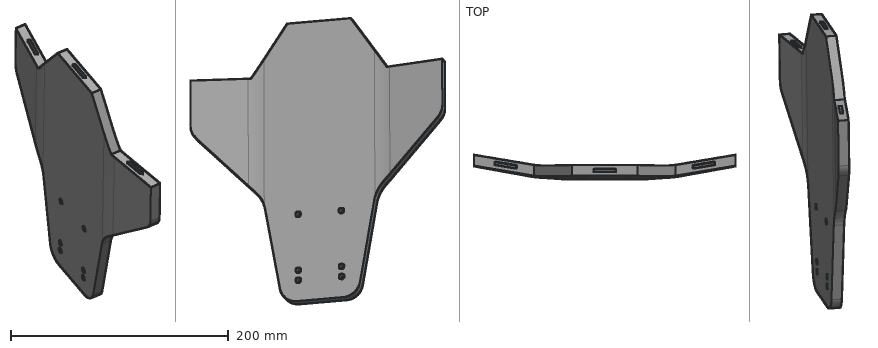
import cadquery as cq
import math

height = 267.5
width = 240.0
half_width = width / 2
thickness = 10.0
lean = 0.75
wing_angle = 9.5
flat_half_width = 52.7
bend_width = 16.3
front_bend_radius = bend_width / math.sin(math.radians(wing_angle))
back_bend_radius = front_bend_radius - thickness

head_half_width = 30.2
shoulder_half_width = 64.8
wing_top = 217.5
wing_tip_bottom = 166.7
waist_half_width = 53.8
waist_height = 100.5
foot_half_width = 35.9
tip_radius = 16.0
waist_radius = 32.0
foot_radius = 16.0

hole_diameter = 5.0
hole_offset = 20.5
hole_heights = (20.0, 29.7, 83.5)

slot_length = 21.0
slot_width = 3.0
slot_depth = 40.1
slot_clearance = 2.7
wing_slot_offset = 91.0
wing_slot_setback = 0.5

margin = 26.8
cut_length = 107.0
lean_slope = math.tan(math.radians(lean))


def face_points(radius):
    """Points along half of one face: bend middle, bend end, and beyond the wing tip."""
    angle = math.radians(wing_angle)
    centre_y = front_bend_radius

    def on_bend(a):
        return flat_half_width + radius * math.sin(a), centre_y - radius * math.cos(a)

    middle = on_bend(angle / 2)
    end = on_bend(angle)
    outer_x = half_width + margin
    outer = (outer_x, end[1] + (outer_x - end[0]) * math.tan(angle))
    return middle, end, outer


def mirror(point):
    return -point[0], point[1]


def bent_sheet():
    """Leaning sheet with its front face at Y = 0 at the foot."""
    front_middle, front_end, front_tip = face_points(front_bend_radius)
    back_middle, back_end, back_tip = face_points(back_bend_radius)
    front_flat = (flat_half_width, 0)
    back_flat = (flat_half_width, thickness)
    section = (
        cq.Workplane("XY", origin=(0, 0, -margin))
        .moveTo(*mirror(front_flat))
        .lineTo(*front_flat)
        .threePointArc(front_middle, front_end)
        .lineTo(*front_tip)
        .lineTo(*back_tip)
        .lineTo(*back_end)
        .threePointArc(back_middle, back_flat)
        .lineTo(*mirror(back_flat))
        .threePointArc(mirror(back_middle), mirror(back_end))
        .lineTo(*mirror(back_tip))
        .lineTo(*mirror(front_tip))
        .lineTo(*mirror(front_end))
        .threePointArc(mirror(front_middle), mirror(front_flat))
        .close()
    )
    sheet = section.extrude(height + 2 * margin)
    return sheet.rotate((0, 0, 0), (1, 0, 0), -lean)


def outline_block():
    """Block with the plate's rounded outline, running along Y."""
    right_side = [
        (foot_half_width, 0),
        (waist_half_width, waist_height),
        (half_width, wing_tip_bottom),
        (half_width, wing_top),
        (shoulder_half_width, wing_top),
        (head_half_width, height),
    ]
    left_side = [mirror(point) for point in reversed(right_side)]
    block = (
        cq.Workplane("XZ", origin=(0, cut_length / 2, 0))
        .polyline(right_side + left_side)
        .close()
        .extrude(cut_length)
    )
    rounded_corners = [
        (foot_half_width, 0, foot_radius),
        (waist_half_width, waist_height, waist_radius),
        (half_width, wing_tip_bottom, tip_radius),
    ]
    for x, z, radius in rounded_corners:
        for side in (-1, 1):
            corner = cq.selectors.NearestToPointSelector((side * x, 0, z))
            block = block.edges("|Y").edges(corner).fillet(radius)
    return block


def mounting_holes():
    points = [(side * hole_offset, z) for side in (-1, 1) for z in hole_heights]
    return (
        cq.Workplane("XZ", origin=(0, cut_length / 2, 0))
        .pushPoints(points)
        .circle(hole_diameter / 2)
        .extrude(cut_length)
    )


def slot_tool(x, centre_y, top, angle):
    """Slot sunk from a top edge, parallel to the leaning plate."""
    tool = (
        cq.Workplane("XY", origin=(x, centre_y, top + slot_clearance))
        .slot2D(slot_length, slot_width, angle)
        .extrude(-slot_depth - slot_clearance)
    )
    return tool.rotate((0, centre_y, top), (1, centre_y, top), -lean)


def head_slot():
    centre_y = thickness / 2 + height * lean_slope
    return slot_tool(0, centre_y, height, 0)


def wing_slot(side):
    angle = math.radians(wing_angle)
    _, (bend_end_x, bend_end_y), _ = face_points(front_bend_radius)
    front_y = bend_end_y + (wing_slot_offset - bend_end_x) * math.tan(angle)
    middle_y = front_y + thickness / 2 / math.cos(angle)
    centre_y = middle_y + wing_slot_setback + wing_top * lean_slope
    return slot_tool(side * wing_slot_offset, centre_y, wing_top, side * wing_angle)


result = bent_sheet().intersect(outline_block()).cut(mounting_holes())
result = result.cut(head_slot())
for side in (-1, 1):
    result = result.cut(wing_slot(side))